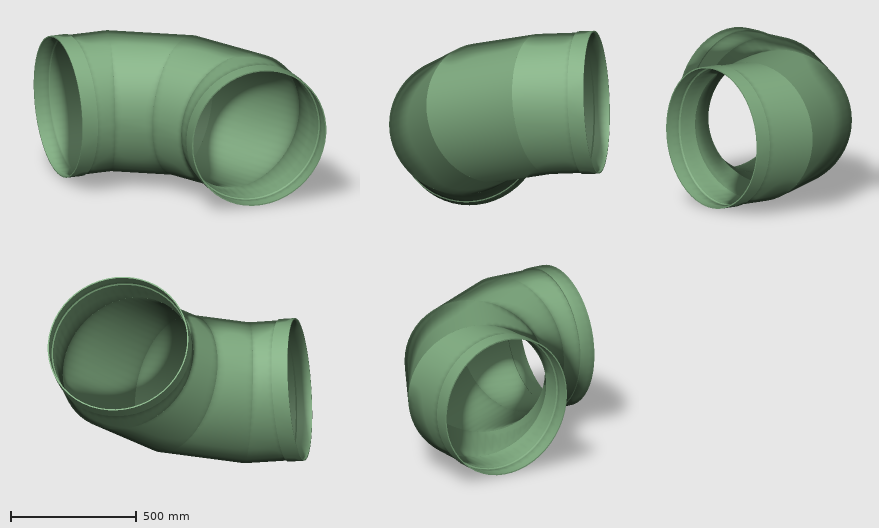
import cadquery as cq
import math


duct_od = 560.0
wall = 5.0
duct_id = duct_od - 2 * wall
bend_radius = duct_od

socket_bore = duct_od
socket_od = socket_bore + 2 * wall
socket_length = 65.0

shoulder_taper = 45.0
socket_shoulder = (socket_bore - duct_id) / 2 / math.tan(math.radians(shoulder_taper))

bend_angle = 90.0
middle_gores = 2
gore_angle = bend_angle / (middle_gores + 1)
half_gore_angle = gore_angle / 2

wedge_reach = bend_radius + duct_od
wedge_rise = wedge_reach * math.tan(math.radians(half_gore_angle))


def cylinder_along_y(diameter, start, end):
    """Solid cylinder on the axis of a gore, from Y = start to Y = end."""
    return (
        cq.Workplane("XZ", origin=(-bend_radius, start, 0))
        .circle(diameter / 2)
        .extrude(start - end)
    )


def mitre_wedge(points):
    """Upright prism that trims a duct to its mitre planes through the bend centre."""
    return cq.Workplane("XY").polyline(points).close().extrude(duct_od / 2 + wall, both=True)


def duct_tube(start, end):
    """Straight length of duct on the axis of a gore."""
    return cylinder_along_y(duct_od, start, end).cut(cylinder_along_y(duct_id, start, end))


def make_middle_gore(position_angle):
    """Duct piece mitred at both ends, turned clockwise around the bend centre."""
    wedge = mitre_wedge([(0, 0), (-wedge_reach, wedge_rise), (-wedge_reach, -wedge_rise)])
    gore = duct_tube(-wedge_rise, wedge_rise).intersect(wedge)
    return gore.rotate((0, 0, 0), (0, 0, 1), -position_angle)


def make_end_gore():
    """Inlet piece: a half gore, mitred at one end, with a socket at the other."""
    wedge = mitre_wedge([(0, 0), (-wedge_reach, wedge_rise), (-wedge_reach, 0)])
    half_gore = duct_tube(0, wedge_rise).intersect(wedge)
    shoulder_bore = (
        cq.Workplane("XZ", origin=(-bend_radius, -socket_shoulder, 0))
        .circle(socket_bore / 2)
        .extrude(-socket_shoulder, taper=shoulder_taper)
    )
    socket = (
        cylinder_along_y(socket_od, -socket_length, 0)
        .cut(cylinder_along_y(socket_bore, -socket_length, -socket_shoulder))
        .cut(shoulder_bore)
    )
    return half_gore.union(socket)


inlet_gore = make_end_gore()

outlet_gore = inlet_gore.rotate((0, 0, 0), (-1, 1, 0), 180)

middle_gore_solids = []
for number in range(1, middle_gores + 1):
    middle_gore_solids.append(make_middle_gore(number * gore_angle).val())

result = cq.Compound.makeCompound([inlet_gore.val(), *middle_gore_solids, outlet_gore.val()])